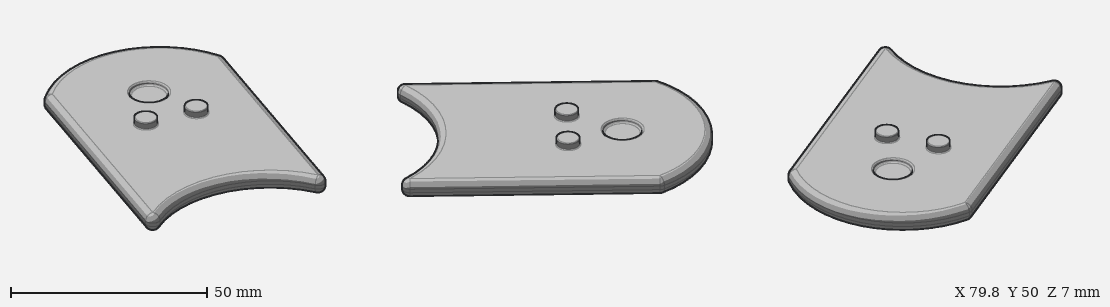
import cadquery as cq
import math

length = 79.75
width = 50.0
thickness = 5.0
edge_radius = 2.0
end_radius = 30.0
cutout_radius = 30.0

pin_diameter = 6.0
pin_height = 2.0
pin_blend = 0.25
pin_x = 7.0
pin_spacing = 14.0
recess_diameter = 10.0
recess_depth = 1.0
recess_x = -7.0

face_half_width = width / 2 - edge_radius
face_end_radius = end_radius - edge_radius
face_cutout_radius = cutout_radius + edge_radius
left_corner_x = -math.sqrt(face_end_radius**2 - face_half_width**2)
right_corner_x = length - end_radius - edge_radius
cutout_center_x = right_corner_x + math.sqrt(face_cutout_radius**2 - face_half_width**2)


def make_plate():
    """Plate with rounded corners and fully rounded top and bottom edges."""
    flat_face = (
        cq.Workplane("XY")
        .moveTo(left_corner_x, -face_half_width)
        .lineTo(right_corner_x, -face_half_width)
        .threePointArc(
            (cutout_center_x - face_cutout_radius, 0),
            (right_corner_x, face_half_width),
        )
        .lineTo(left_corner_x, face_half_width)
        .threePointArc((-face_end_radius, 0), (left_corner_x, -face_half_width))
        .close()
    )
    blank = flat_face.offset2D(edge_radius, "arc").extrude(thickness)
    return blank.faces("|Z").edges().fillet(edge_radius)


def make_pin(y):
    """Pin with a concave blend at its root and a rounded rim."""
    radius = pin_diameter / 2
    top = thickness + pin_height
    diagonal = pin_blend * (1 - math.sqrt(0.5))
    profile = (
        cq.Workplane("XZ")
        .moveTo(0, thickness - pin_blend)
        .lineTo(radius + pin_blend, thickness - pin_blend)
        .lineTo(radius + pin_blend, thickness)
        .threePointArc(
            (radius + diagonal, thickness + diagonal),
            (radius, thickness + pin_blend),
        )
        .lineTo(radius, top - pin_blend)
        .threePointArc((radius - diagonal, top - diagonal), (radius - pin_blend, top))
        .lineTo(0, top)
        .close()
    )
    return profile.revolve(360, (0, 0), (0, 1)).translate((pin_x, y, 0))


def make_recess():
    """Shallow round recess whose wall is a convex lip running into a concave floor blend."""
    radius = recess_diameter / 2
    blend = recess_depth / 2
    floor = thickness - recess_depth
    diagonal = blend * (1 - math.sqrt(0.5))
    profile = (
        cq.Workplane("XZ")
        .moveTo(0, floor)
        .lineTo(radius - blend, floor)
        .threePointArc((radius - diagonal, floor + diagonal), (radius, floor + blend))
        .threePointArc(
            (radius + diagonal, thickness - diagonal),
            (radius + blend, thickness),
        )
        .lineTo(0, thickness)
        .close()
    )
    return profile.revolve(360, (0, 0), (0, 1)).translate((recess_x, 0, 0))


result = make_plate().cut(make_recess())
for side in (-1, 1):
    result = result.union(make_pin(side * pin_spacing / 2))